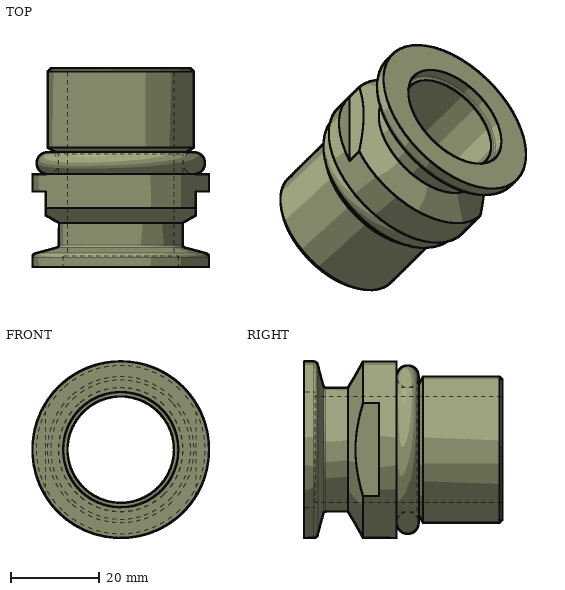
import cadquery as cq
import math

LENGTH = 45.0

FLANGE_RADIUS = 20.002
RIM_WIDTH = 2.2
RIM_FILLET = 1.0
FLANGE_TAPER = 15.0
NECK_RADIUS = 14.05
NECK_FILLET = 0.5

COLLAR_RADIUS = FLANGE_RADIUS
CONE_START = 10.0
CONE_END = 13.4
COLLAR_END = 21.0
FLAT_OFFSET = 17.0
FLAT_END = 17.05

RING_SECTION_RADIUS = 2.498
RING_OUTER_RADIUS = 19.1
RING_CENTER_RADIUS = RING_OUTER_RADIUS - RING_SECTION_RADIUS
RING_Y = COLLAR_END + RING_SECTION_RADIUS

GROOVE_RADIUS = RING_OUTER_RADIUS - 2 * RING_SECTION_RADIUS
SPIGOT_RADIUS = 16.55
SPIGOT_START = 27.0
RUNOUT_ANGLE = 60.0
SPIGOT_CHAMFER = 0.75

BORE_RADIUS = 12.0
RECESS_RADIUS = 13.05
RECESS_DEPTH = 2.5
RECESS_FILLET = 0.25


def revolve_about_y(profile):
    return profile.revolve(360, (0, 0, 0), (0, 1, 0))


def circular_edges_at(y, radius):
    """Selector box around a full circular edge centred on the Y axis."""
    margin = 0.05
    reach = radius + margin
    return cq.selectors.BoxSelector(
        (-reach, y - margin, -reach), (reach, y + margin, reach), boundingbox=True
    )


def make_turned_blank():
    taper_slope = math.tan(math.radians(FLANGE_TAPER))
    rim_corner = RIM_WIDTH + RIM_FILLET * math.tan(math.radians((90 - FLANGE_TAPER) / 2))
    taper_end = rim_corner + (FLANGE_RADIUS - NECK_RADIUS) * taper_slope
    runout_length = (SPIGOT_RADIUS - GROOVE_RADIUS) / math.tan(math.radians(RUNOUT_ANGLE))

    blank = revolve_about_y(
        cq.Workplane("XY").polyline([
            (0, 0),
            (FLANGE_RADIUS, 0),
            (FLANGE_RADIUS, rim_corner),
            (NECK_RADIUS, taper_end),
            (NECK_RADIUS, CONE_START),
            (COLLAR_RADIUS, CONE_END),
            (COLLAR_RADIUS, COLLAR_END),
            (GROOVE_RADIUS, COLLAR_END),
            (GROOVE_RADIUS, SPIGOT_START - runout_length),
            (SPIGOT_RADIUS, SPIGOT_START),
            (SPIGOT_RADIUS, LENGTH - SPIGOT_CHAMFER),
            (SPIGOT_RADIUS - SPIGOT_CHAMFER, LENGTH),
            (0, LENGTH),
        ]).close()
    )
    blank = blank.edges(circular_edges_at(rim_corner, FLANGE_RADIUS)).fillet(RIM_FILLET)
    return blank.edges(circular_edges_at(taper_end, NECK_RADIUS)).fillet(NECK_FILLET)


def make_bore():
    """Through bore with a wider recess whose floor has a filleted corner."""
    bore = cq.Workplane("XZ").circle(BORE_RADIUS).extrude(-LENGTH)
    recess = (
        cq.Workplane("XZ").circle(RECESS_RADIUS).extrude(-RECESS_DEPTH)
        .faces(">Y").edges().fillet(RECESS_FILLET)
    )
    return bore.union(recess)


def make_flat_cutter(side):
    """Block that removes the collar outside one wrench flat; side is -1 or 1."""
    flat_length = FLAT_END - CONE_START
    flat_depth = COLLAR_RADIUS - FLAT_OFFSET
    return cq.Workplane("XY").box(flat_depth, flat_length, 2 * COLLAR_RADIUS).translate(
        (side * (FLAT_OFFSET + flat_depth / 2), CONE_START + flat_length / 2, 0)
    )


def make_fitting():
    fitting = make_turned_blank().cut(make_bore())
    for side in (-1, 1):
        fitting = fitting.cut(make_flat_cutter(side))
    return fitting


def make_sealing_ring():
    return revolve_about_y(
        cq.Workplane("XY").moveTo(RING_CENTER_RADIUS, RING_Y).circle(RING_SECTION_RADIUS)
    )


fitting = make_fitting()
sealing_ring = make_sealing_ring()

result = cq.Compound.makeCompound([fitting.val(), sealing_ring.val()])